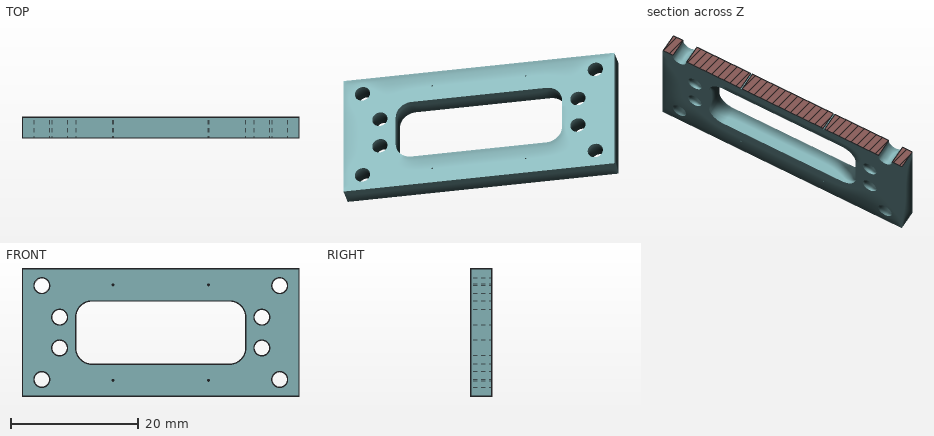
import cadquery as cq

PLATE_LENGTH = 43.43
PLATE_THICKNESS = 3.3
PLATE_HEIGHT = 20.07

WINDOW_LENGTH = 26.67
WINDOW_HEIGHT = 9.906
WINDOW_CORNER_RADIUS = 2.54

MOUNTING_HOLE_DIAMETER = 2.44
OUTER_HOLE_SPACING = (37.34, 14.73)
INNER_HOLE_SPACING = (31.75, 4.83)
PIN_HOLE_DIAMETER = 0.22
PIN_HOLE_SPACING = (14.99, 14.99)


def make_plate():
    """Flat plate standing in the XZ plane, centred on the origin."""
    return cq.Workplane("XY").box(PLATE_LENGTH, PLATE_THICKNESS, PLATE_HEIGHT)


def make_window():
    """Cutter for the rounded rectangular opening through the plate."""
    return (
        cq.Workplane("XY")
        .box(WINDOW_LENGTH, PLATE_THICKNESS, WINDOW_HEIGHT)
        .edges("|Y")
        .fillet(WINDOW_CORNER_RADIUS)
    )


def make_hole_set(spacing, diameter):
    """Cutter for four through holes at the corners of a centred rectangle."""
    return (
        cq.Workplane("XZ")
        .rect(*spacing, forConstruction=True)
        .vertices()
        .circle(diameter / 2)
        .extrude(PLATE_THICKNESS / 2, both=True)
    )


result = (
    make_plate()
    .cut(make_window())
    .cut(make_hole_set(OUTER_HOLE_SPACING, MOUNTING_HOLE_DIAMETER))
    .cut(make_hole_set(INNER_HOLE_SPACING, MOUNTING_HOLE_DIAMETER))
    .cut(make_hole_set(PIN_HOLE_SPACING, PIN_HOLE_DIAMETER))
)